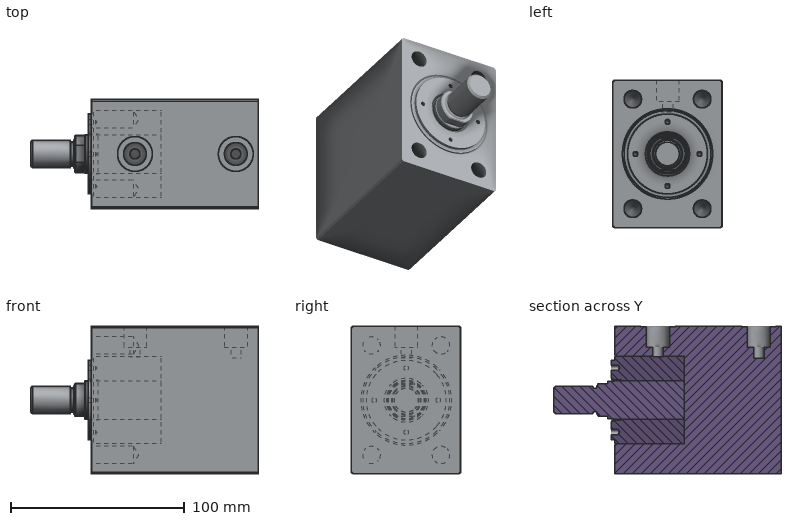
import cadquery as cq
import math


LENGTH = 96.0
WIDTH = 63.0
HEIGHT = 85.0
EDGE_CHAMFER = 1.0

GLAND_DIAMETER = 50.0
GLAND_DEPTH = 40.0
BORE_MOUTH_DIAMETER = 52.0
BOSS_DIAMETER = 46.0
BOSS_HEIGHT = 2.0
SPANNER_CIRCLE_RADIUS = 18.5
SPANNER_HOLE_DIAMETER = 2.8
SPANNER_HOLE_DEPTH = 4.0
SPANNER_HOLE_COUNT = 4
ROD_HOLE_MOUTH_DIAMETER = 25.4
ROD_HOLE_MOUTH_DEPTH = 1.6

WIPER_DIAMETER = 23.0
WIPER_LENGTH = 3.9
WIPER_FRONT = ROD_HOLE_MOUTH_DEPTH - BOSS_HEIGHT

MOUNT_SPACING_Y = 40.0
MOUNT_SPACING_Z = 63.0
MOUNT_DIAMETER = 10.1
MOUNT_DEPTH = 24.0
DRILL_POINT_ANGLE = 118

PORT_POSITIONS = (25.0, 83.0)
PORT_SEAT_DIAMETER = 20.0
PORT_SEAT_DEPTH = 0.2
PORT_DIAMETER = 13.1
PORT_DEPTH = 12.0
PORT_DUCT_DIAMETER = 5.8
PORT_DUCT_DEPTH = 18.3

ROD_LENGTH = 35.0
ROD_DIAMETER = 22.0
COLLAR_FRONT = 3.9
COLLAR_CHAMFER = 0.4
HEAD_FRONT = 9.7
HEAD_DIAMETER = 21.4
HEAD_CHAMFER = 0.5
FLATS_WIDTH = 19.0
STEP_DIAMETER = 17.0
STEP_LENGTH = 0.5
THREAD_DIAMETER = 16.0
THREAD_END = 12.3
THREAD_RUNOUT = 0.3
THREAD_CHAMFER = 1.2
GROOVE_DIAMETER = 14.0


def revolve_about_x(profile):
    """Turn a closed half profile of (x, radius) points about the X axis."""
    return cq.Workplane("XY").polyline(profile).close().revolve(360, (0, 0, 0), (1, 0, 0))


def drill_along_x(x, y, z, diameter, depth):
    """Blind drilled hole that starts at x, runs toward +X and ends in a drill point."""
    radius = diameter / 2
    point_length = radius / math.tan(math.radians(DRILL_POINT_ANGLE / 2))
    profile = [(0, 0), (0, radius), (depth, radius), (depth + point_length, 0)]
    return revolve_about_x(profile).translate((x, y, z))


def bore():
    """Blind bore for the gland with a chamfered mouth."""
    radius = GLAND_DIAMETER / 2
    mouth_radius = BORE_MOUTH_DIAMETER / 2
    mouth_depth = mouth_radius - radius
    return revolve_about_x([
        (0, 0),
        (0, mouth_radius),
        (mouth_depth, radius),
        (GLAND_DEPTH, radius),
        (GLAND_DEPTH, 0),
    ])


def port(x):
    """Vertical port: shallow seat, threaded hole and narrow duct. The front duct opens into the bore."""
    top = cq.Workplane("XY", origin=(x, 0, HEIGHT / 2))
    seat = top.circle(PORT_SEAT_DIAMETER / 2).extrude(-PORT_SEAT_DEPTH)
    hole = top.circle(PORT_DIAMETER / 2).extrude(-PORT_DEPTH)
    duct = top.circle(PORT_DUCT_DIAMETER / 2).extrude(-PORT_DUCT_DEPTH)
    return seat.union(hole).union(duct)


def make_housing():
    body = cq.Workplane("XY").box(LENGTH, WIDTH, HEIGHT, centered=(False, True, True))
    body = body.edges("|X").chamfer(EDGE_CHAMFER).cut(bore())
    for y in (-MOUNT_SPACING_Y / 2, MOUNT_SPACING_Y / 2):
        for z in (-MOUNT_SPACING_Z / 2, MOUNT_SPACING_Z / 2):
            body = body.cut(drill_along_x(0, y, z, MOUNT_DIAMETER, MOUNT_DEPTH))
    for x in PORT_POSITIONS:
        body = body.cut(port(x))
    return body


def make_gland():
    outer = GLAND_DIAMETER / 2
    boss = BOSS_DIAMETER / 2
    inner = ROD_DIAMETER / 2
    body = revolve_about_x([
        (-BOSS_HEIGHT, ROD_HOLE_MOUTH_DIAMETER / 2),
        (-BOSS_HEIGHT, boss),
        (0, boss),
        (0, outer),
        (GLAND_DEPTH, outer),
        (GLAND_DEPTH, inner),
        (WIPER_FRONT + WIPER_LENGTH, inner),
        (WIPER_FRONT + WIPER_LENGTH, WIPER_DIAMETER / 2),
        (WIPER_FRONT, WIPER_DIAMETER / 2),
    ])
    for index in range(SPANNER_HOLE_COUNT):
        angle = math.radians(index * 360 / SPANNER_HOLE_COUNT)
        y = SPANNER_CIRCLE_RADIUS * math.cos(angle)
        z = SPANNER_CIRCLE_RADIUS * math.sin(angle)
        body = body.cut(drill_along_x(-BOSS_HEIGHT, y, z, SPANNER_HOLE_DIAMETER, SPANNER_HOLE_DEPTH))
    return body


def make_wiper():
    ring = cq.Workplane("YZ", origin=(WIPER_FRONT, 0, 0))
    return ring.circle(WIPER_DIAMETER / 2).circle(ROD_DIAMETER / 2).extrude(WIPER_LENGTH)


def rod_head():
    """Head in front of the collar, with a wrench flat above and below and a chamfered front edge."""
    length = HEAD_FRONT - COLLAR_FRONT
    head = cq.Workplane("YZ", origin=(-HEAD_FRONT, 0, 0)).circle(HEAD_DIAMETER / 2).extrude(length)
    between_flats = cq.Workplane("XY").box(length, HEAD_DIAMETER, FLATS_WIDTH)
    between_flats = between_flats.translate((-HEAD_FRONT + length / 2, 0, 0))
    return head.intersect(between_flats).faces("<X").edges().chamfer(HEAD_CHAMFER)


def make_rod():
    rod = ROD_DIAMETER / 2
    step = STEP_DIAMETER / 2
    groove = GROOVE_DIAMETER / 2
    thread = THREAD_DIAMETER / 2
    threaded_end = revolve_about_x([
        (-ROD_LENGTH, 0),
        (-ROD_LENGTH, thread - THREAD_CHAMFER),
        (-ROD_LENGTH + THREAD_CHAMFER, thread),
        (-THREAD_END, thread),
        (-THREAD_END + THREAD_RUNOUT, groove),
        (-HEAD_FRONT - STEP_LENGTH, groove),
        (-HEAD_FRONT - STEP_LENGTH, thread),
        (-HEAD_FRONT, step),
        (-HEAD_FRONT, 0),
    ])
    shaft = revolve_about_x([
        (-COLLAR_FRONT, 0),
        (-COLLAR_FRONT, rod - COLLAR_CHAMFER),
        (-COLLAR_FRONT + COLLAR_CHAMFER, rod),
        (GLAND_DEPTH, rod),
        (GLAND_DEPTH, 0),
    ])
    return threaded_end.union(rod_head()).union(shaft)


housing = make_housing()
gland = make_gland()
wiper = make_wiper()
rod = make_rod()

bodies = [housing, gland, wiper, rod]
result = cq.Compound.makeCompound([body.solids().val() for body in bodies])